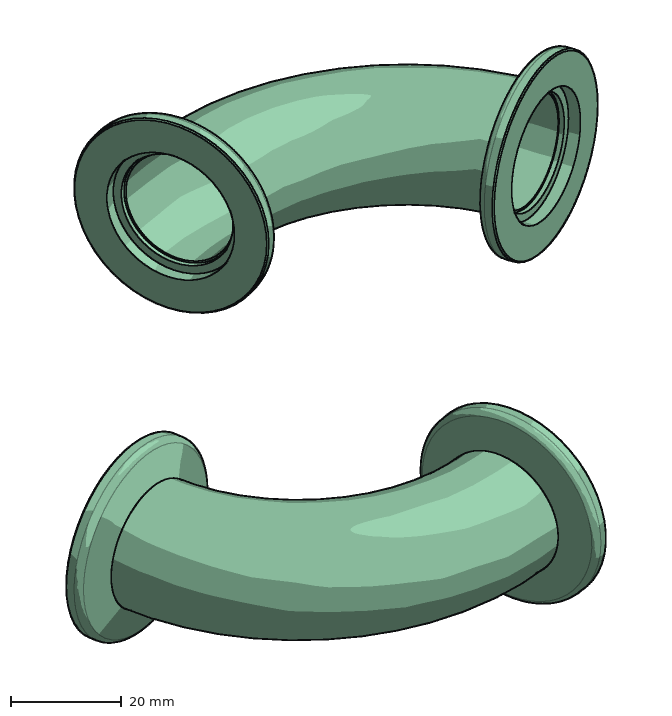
import cadquery as cq
import math

FLANGE_DIAMETER = 40.0
ELBOW_LENGTH = 70.0
FLANGE_RADIUS = FLANGE_DIAMETER / 2
FACE_DISTANCE = ELBOW_LENGTH - FLANGE_RADIUS

PIPE_RADIUS = 25.4 / 2
BORE_RADIUS = 22.1 / 2

FLANGE_THICKNESS = 5.0
FLANGE_BORE_RADIUS = 22.9 / 2
RECESS_RADIUS = 26.2 / 2
RECESS_DEPTH = 2.45
SOCKET_DEPTH = 1.5
HUB_RADIUS = PIPE_RADIUS
TAPER_ANGLE = 15.0
RIM_FILLET = 1.4
FACE_CHAMFER = 0.3

BEND_RADIUS = FACE_DISTANCE - FLANGE_THICKNESS + SOCKET_DEPTH


def make_flange():
    """Flange of revolution with its sealing face at Y = 0 and its back toward +Y."""
    taper_drop = (FLANGE_RADIUS - HUB_RADIUS) * math.tan(math.radians(TAPER_ANGLE))
    body = (
        cq.Workplane("XY")
        .polyline([
            (0, 0),
            (FLANGE_RADIUS, 0),
            (FLANGE_RADIUS, FLANGE_THICKNESS - taper_drop),
            (HUB_RADIUS, FLANGE_THICKNESS),
            (0, FLANGE_THICKNESS),
        ])
        .close()
        .revolve(360, (0, 0, 0), (0, 1, 0))
    )
    rim_center = (0, FLANGE_THICKNESS - taper_drop, 0)
    body = body.edges("%CIRCLE").edges(cq.selectors.NearestToPointSelector(rim_center)).fillet(RIM_FILLET)
    body = body.faces("<Y").edges().chamfer(FACE_CHAMFER)

    recess = disc(RECESS_RADIUS, 0, RECESS_DEPTH)
    bore = disc(FLANGE_BORE_RADIUS, 0, FLANGE_THICKNESS)
    return body.cut(recess).cut(bore)


def disc(radius, start, length):
    """Cylinder along +Y that begins at Y = start."""
    return cq.Workplane("XZ", origin=(0, start, 0)).circle(radius).extrude(-length)


def make_bend(radius):
    """Solid quarter-turn bar from the first flange (facing -Y) to the second (facing +X)."""
    return (
        cq.Workplane("XZ", origin=(0, -BEND_RADIUS, 0))
        .circle(radius)
        .revolve(90, (BEND_RADIUS, 0, 0), (BEND_RADIUS, -1, 0))
    )


pipe_envelope = make_bend(PIPE_RADIUS)
pipe = pipe_envelope.cut(make_bend(BORE_RADIUS))

flanges = []
for turn in (0, 90):
    flange = make_flange().translate((0, -FACE_DISTANCE, 0)).rotate((0, 0, 0), (0, 0, 1), turn)
    flanges.append(flange.cut(pipe_envelope).val())

result = cq.Compound.makeCompound([pipe.val(), *flanges])